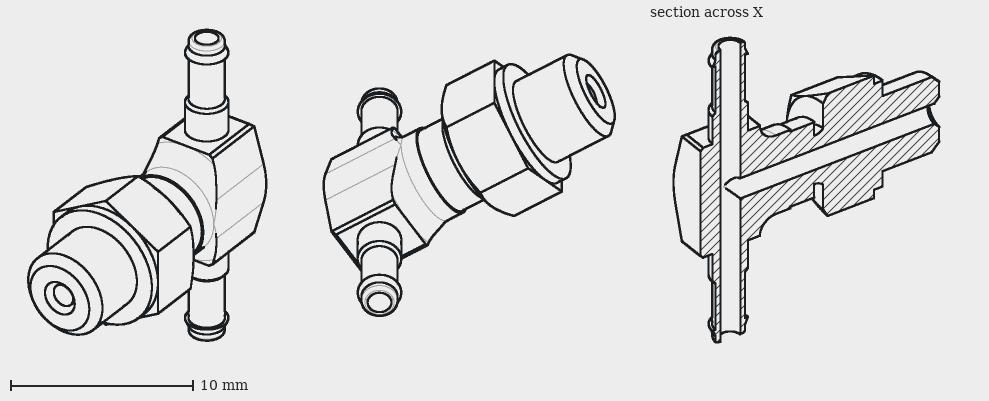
import cadquery as cq
import math


bore_diameter = 1.3
countersink_diameter = 2.0

total_height = 19.2
tube_radius = 2.0 / 2
shoulder_radius = 2.4 / 2
shoulder_end = 5.43
barb_start = 8.65
barb_end = 9.1
tip_round = 0.2

block_half_height = 3.63
block_half_depth = 2.0
block_half_width = 5.2 / 2
side_arc_half_height = 1.25
side_slope = 16.0
block_bevel = 0.17

collar_radius = block_half_width
sleeve_radius = 5.0 / 2
neck_radius = 1.61
neck_flare = 0.25
collar_end = 4.01
sleeve_end = 5.63
hex_start = 6.2
hex_end = 9.62
flange_end = 10.2
stem_end = 14.0
hex_flats = 7.0
hex_chamfer_angle = 30.0
thread_chamfer = 0.52

flare_radius = block_half_height - collar_radius
flare_end = block_half_depth + flare_radius


def cylinder_y(radius, start, end):
    """Cylinder on the stem axis, between two distances along -Y."""
    return cq.Workplane("XZ", origin=(0, -start, 0)).circle(radius).extrude(end - start)


def revolve_stem(profile):
    """Turn a closed (radius, y) profile about the stem axis."""
    return profile.close().revolve(360, (0, 0, 0), (0, 1, 0))


def block_prism(front):
    """Block section from the back face to a distance along -Y, with arched sides."""
    angle = math.radians(side_slope)
    arc_radius = side_arc_half_height / math.sin(angle)
    tangent_x = block_half_width - arc_radius * (1 - math.cos(angle))
    top_x = tangent_x - (block_half_height - side_arc_half_height) * math.tan(angle)
    return (
        cq.Workplane("XZ", origin=(0, block_half_depth, 0))
        .moveTo(top_x, block_half_height)
        .lineTo(tangent_x, side_arc_half_height)
        .threePointArc((block_half_width, 0), (tangent_x, -side_arc_half_height))
        .lineTo(top_x, -block_half_height)
        .lineTo(-top_x, -block_half_height)
        .lineTo(-tangent_x, -side_arc_half_height)
        .threePointArc((-block_half_width, 0), (-tangent_x, side_arc_half_height))
        .lineTo(-top_x, block_half_height)
        .close()
        .extrude(block_half_depth + front)
    )


def junction_block():
    """Block bevelled at the back and sides of both ends, flaring into the stem."""
    block = block_prism(block_half_depth)
    for end in (">Z", "<Z"):
        block = block.faces(end).edges("|Y or >Y").chamfer(block_bevel)
    arc_offset = flare_radius * (1 - math.sqrt(0.5))
    flare = revolve_stem(
        cq.Workplane("XY")
        .moveTo(0, -block_half_depth)
        .lineTo(block_half_height, -block_half_depth)
        .threePointArc(
            (collar_radius + arc_offset, -block_half_depth - arc_offset),
            (collar_radius, -flare_end),
        )
        .lineTo(0, -flare_end)
    )
    return block.union(flare.intersect(block_prism(flare_end)))


def hexagon():
    """Hexagon with corners on Z and a conical chamfer facing the block."""
    corner_diameter = hex_flats / math.cos(math.radians(30))
    prism = (
        cq.Workplane("XZ", origin=(0, -hex_start, 0))
        .transformed(rotate=(0, 0, 90))
        .polygon(6, corner_diameter)
        .extrude(hex_end - hex_start)
    )
    cone_rise = (corner_diameter - hex_flats) / 2 * math.tan(math.radians(hex_chamfer_angle))
    envelope = revolve_stem(
        cq.Workplane("XY")
        .moveTo(0, -hex_start)
        .lineTo(hex_flats / 2, -hex_start)
        .lineTo(corner_diameter / 2, -hex_start - cone_rise)
        .lineTo(corner_diameter / 2, -hex_end)
        .lineTo(0, -hex_end)
    )
    return prism.intersect(envelope)


def neck():
    """Narrow neck, curving outwards along its whole length to the hexagon."""
    neck_length = hex_start - sleeve_end
    arc_angle = 2 * math.atan(neck_flare / neck_length)
    arc_radius = neck_length / math.sin(arc_angle)
    arc_middle = (
        neck_radius + arc_radius * (1 - math.cos(arc_angle / 2)),
        -sleeve_end - arc_radius * math.sin(arc_angle / 2),
    )
    return revolve_stem(
        cq.Workplane("XY")
        .moveTo(0, -sleeve_end)
        .lineTo(neck_radius, -sleeve_end)
        .threePointArc(arc_middle, (neck_radius + neck_flare, -hex_start))
        .lineTo(0, -hex_start)
    )


def barbed_tube():
    """Upper hose tube: shoulder, plain length, barb and rounded tip."""
    tube_end = total_height / 2
    shoulder_cone = shoulder_radius - tube_radius
    arc_offset = tip_round * (1 - math.sqrt(0.5))
    return (
        cq.Workplane("XZ")
        .moveTo(0, 0)
        .lineTo(shoulder_radius, 0)
        .lineTo(shoulder_radius, shoulder_end)
        .lineTo(tube_radius, shoulder_end + shoulder_cone)
        .lineTo(tube_radius, barb_start)
        .lineTo(shoulder_radius, barb_start)
        .lineTo(tube_radius, barb_end)
        .lineTo(tube_radius, tube_end - tip_round)
        .threePointArc(
            (tube_radius - arc_offset, tube_end - arc_offset),
            (tube_radius - tip_round, tube_end),
        )
        .lineTo(0, tube_end)
        .close()
        .revolve(360, (0, 0, 0), (0, 1, 0))
    )


def bores():
    """Through bore along Z, joined by the countersunk stem bore."""
    through = cq.Workplane("XY").circle(bore_diameter / 2).extrude(total_height / 2, both=True)
    stem_bore = cylinder_y(bore_diameter / 2, 0, stem_end)
    countersink_depth = (countersink_diameter - bore_diameter) / 2
    countersink = revolve_stem(
        cq.Workplane("XY")
        .moveTo(0, -stem_end)
        .lineTo(countersink_diameter / 2, -stem_end)
        .lineTo(bore_diameter / 2, -stem_end + countersink_depth)
        .lineTo(0, -stem_end + countersink_depth)
    )
    return through.union(stem_bore).union(countersink)


upper_tube = barbed_tube()
thread = cylinder_y(sleeve_radius, flange_end, stem_end).faces("<Y").chamfer(thread_chamfer)

result = (
    junction_block()
    .union(upper_tube)
    .union(upper_tube.mirror("XY"))
    .union(cylinder_y(collar_radius, flare_end, collar_end))
    .union(cylinder_y(sleeve_radius, collar_end, sleeve_end))
    .union(neck())
    .union(hexagon())
    .union(cylinder_y(hex_flats / 2, hex_end, flange_end))
    .union(thread)
    .cut(bores())
)